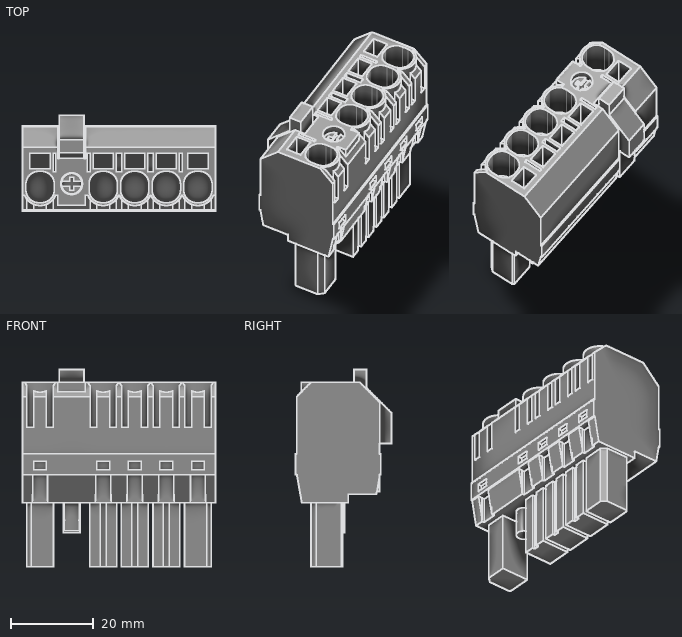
import cadquery as cq
import math


PITCH = 7.62
PLACES = 6
SCREW_PLACE = 1
END_MARGIN = 0.45
LENGTH = PLACES * PITCH + 2 * END_MARGIN
PLACE_X = [(i - (PLACES - 1) / 2) * PITCH for i in range(PLACES)]
SCREW_X = PLACE_X[SCREW_PLACE]
POLE_X = [x for i, x in enumerate(PLACE_X) if i != SCREW_PLACE]

BOTTOM_Z = 15.5
LEDGE_Z = 17.5
LIP_BOTTOM_Z = 22.3
LIP_TOP_Z = 27.3
COLLAR_BASE_Z = 33.7
TOP_Z = 44.65

LIP_STEP = 0.3
LIP_BACK_Y = 20.65
WALL_FRONT_Y = LIP_STEP
WALL_BACK_Y = LIP_BACK_Y - LIP_STEP
FOOT_FRONT_Y = 1.5
FOOT_BACK_Y = 12.75
LEDGE_BACK_Y = 19.55
FRONT_CHAMFER = 3.5
BACK_CHAMFER = 4.9

HOLE_X = 6.85
HOLE_Y = 7.55
HOLE_RADIUS = 3.04
HOLE_CENTRE_Y = 5.85
COLLAR_RADIUS = 4.04
COLLAR_CENTRE_Y = 5.4
FLUTE_SPAN = 6.35
FLUTE_RIB = 3.07

TOP_OPENING_BACK_Y = 14.0
DRIVER_X = 4.9
DRIVER_Y = 3.8
SLIT_X = 1.3
SLIT_Y = 4.5
SLIT_DEPTH = 3.0
SLITTED_BOUNDARIES = PLACES - 1

WINDOW_Z = 2.04
WINDOW_CENTRE_Z = 24.5
WINDOW_DEPTH = 1.0
RECESS_MOUTH_X = 3.55
RECESS_CAVITY_X = 3.8
RECESS_CAVITY_FRONT_Y = 1.4
RECESS_BACK_Y = 2.1

PRONG_X = 6.55
PRONG_FRONT_Y = 3.75
PRONG_BACK_Y = 11.4
PRONG_CHAMFER_X = 1.12
PRONG_CHAMFER_Y = 1.3
PRONG_BACK_CHAMFER = 0.35
GROOVE_X = 1.43
GROOVE_DEPTH = 0.65

SCREW_Y = 6.65
SHANK_RADIUS = 1.78
SHANK_TIP_Z = 8.7
HEAD_RADIUS = 2.48
HEAD_TOP_Z = TOP_Z - 2.0
HEAD_HEIGHT = 2.5
DRIVE_SLOT_Y = 1.13
DRIVE_CROSS_X = 1.0
DRIVE_CROSS_Y = 3.2
DRIVE_DEPTH = 1.0
SCREW_HOLE_RADIUS = 2.63
PAD_X = 6.6
PAD_FRONT_Y = 1.45

GUIDE_X = 4.14
GUIDE_FRONT_Y = 8.6
GUIDE_BACK_Y = 11.85
GUIDE_BOTTOM_Z = 8.25
GUIDE_BEVEL_Y = 1.7
GUIDE_BEVEL_Z = 3.0

LATCH_X = 6.0
LATCH_SLOT_X = 6.65
LATCH_BOTTOM_Z = 18.2
LATCH_TOP_Z = 47.7
LATCH_BACK_Y = 23.2
CATCH_BOTTOM_Z = 29.8
CATCH_TOP_Z = 37.2
BUTTON_FRONT_Y = 14.1
BUTTON_BACK_Y = 17.2
SHOULDER_DROP = 3.0


def box(x_range, y_range, z_range):
    """Axis-aligned block between the given limits."""
    (x0, x1), (y0, y1), (z0, z1) = x_range, y_range, z_range
    return cq.Workplane("XY").box(x1 - x0, y1 - y0, z1 - z0, centered=False).translate((x0, y0, z0))


def around(centre, width):
    """Limits of a width centred on a position."""
    return centre - width / 2, centre + width / 2


def side_profile(points, centre_x, width):
    """Closed (Y, Z) outline extruded along X, centred on centre_x."""
    start = cq.Workplane("YZ").workplane(offset=centre_x - width / 2)
    return start.polyline(points).close().extrude(width)


def upright_cylinder(x, y, radius, z_range):
    z0, z1 = z_range
    return cq.Workplane("XY").workplane(offset=z0).center(x, y).circle(radius).extrude(z1 - z0)


def make_shell():
    """Plain housing section: chamfered top, lip all along, tapered and stepped foot."""
    outline = [
        (FOOT_FRONT_Y, BOTTOM_Z),
        (WALL_FRONT_Y, LIP_BOTTOM_Z),
        (0, LIP_BOTTOM_Z),
        (0, LIP_TOP_Z),
        (WALL_FRONT_Y, LIP_TOP_Z),
        (WALL_FRONT_Y, TOP_Z - FRONT_CHAMFER),
        (WALL_FRONT_Y + FRONT_CHAMFER, TOP_Z),
        (WALL_BACK_Y - BACK_CHAMFER, TOP_Z),
        (WALL_BACK_Y, TOP_Z - BACK_CHAMFER),
        (WALL_BACK_Y, LIP_TOP_Z),
        (LIP_BACK_Y, LIP_TOP_Z),
        (LIP_BACK_Y, LIP_BOTTOM_Z),
        (WALL_BACK_Y, LIP_BOTTOM_Z),
        (LEDGE_BACK_Y, LEDGE_Z),
        (FOOT_BACK_Y, LEDGE_Z),
        (FOOT_BACK_Y, BOTTOM_Z),
    ]
    return side_profile(outline, 0, LENGTH)


def make_collar(x):
    return upright_cylinder(x, COLLAR_CENTRE_Y, COLLAR_RADIUS, (COLLAR_BASE_Z, TOP_Z))


def make_flutes(x):
    """Two upright slots beside the front rib, reaching back into the space that the collar fills."""
    span = box(around(x, FLUTE_SPAN), (0, COLLAR_CENTRE_Y), (COLLAR_BASE_Z, TOP_Z))
    rib = box(around(x, FLUTE_RIB), (0, COLLAR_CENTRE_Y), (COLLAR_BASE_Z, TOP_Z))
    return span.cut(rib)


def make_wire_hole(x):
    hole = box(around(x, HOLE_X), around(HOLE_CENTRE_Y, HOLE_Y), (COLLAR_BASE_Z, TOP_Z))
    return hole.edges("|Z").fillet(HOLE_RADIUS)


def make_driver_opening(x):
    y_range = (TOP_OPENING_BACK_Y - DRIVER_Y, TOP_OPENING_BACK_Y)
    return box(around(x, DRIVER_X), y_range, (COLLAR_BASE_Z, TOP_Z))


def make_window(x):
    return box(around(x, FLUTE_RIB), (0, WINDOW_DEPTH), around(WINDOW_CENTRE_Z, WINDOW_Z))


def make_foot_recess(x):
    """Upright-backed recess in the tapered foot, slightly wider behind its mouth."""
    z_range = (BOTTOM_Z, LIP_BOTTOM_Z)
    mouth = box(around(x, RECESS_MOUTH_X), (0, RECESS_BACK_Y), z_range)
    cavity = box(around(x, RECESS_CAVITY_X), (RECESS_CAVITY_FRONT_Y, RECESS_BACK_Y), z_range)
    return mouth.union(cavity)


def make_slit(boundary):
    """Slit on the boundary after a place; only its half away from the screw or the last pole."""
    boundary_x = PLACE_X[boundary] + PITCH / 2
    left_x, right_x = around(boundary_x, SLIT_X)
    if boundary == SCREW_PLACE:
        left_x = boundary_x
    if boundary in (SCREW_PLACE - 1, SLITTED_BOUNDARIES - 1):
        right_x = boundary_x
    y_range = (TOP_OPENING_BACK_Y - SLIT_Y, TOP_OPENING_BACK_Y)
    return box((left_x, right_x), y_range, (TOP_Z - SLIT_DEPTH, TOP_Z))


def make_prong(x):
    """Rectangular prong; end prongs lose their outer corners, the others have a front groove."""
    body = box(around(x, PRONG_X), (PRONG_FRONT_Y, PRONG_BACK_Y), (0, BOTTOM_Z))
    if x in (POLE_X[0], POLE_X[-1]):
        outward = "<X" if x < 0 else ">X"
        body = body.edges(f"|Z and {outward} and >Y").chamfer(PRONG_BACK_CHAMFER)
        side_x = x + math.copysign(PRONG_X / 2, x)
        corner = [
            (side_x, PRONG_FRONT_Y),
            (side_x - math.copysign(PRONG_CHAMFER_X, x), PRONG_FRONT_Y),
            (side_x, PRONG_FRONT_Y + PRONG_CHAMFER_Y),
        ]
        return body.cut(cq.Workplane("XY").polyline(corner).close().extrude(BOTTOM_Z))
    groove_y = (PRONG_FRONT_Y, PRONG_FRONT_Y + GROOVE_DEPTH)
    return body.cut(box(around(x, GROOVE_X), groove_y, (0, BOTTOM_Z)))


def make_guide():
    """Block behind the screw shank, bevelled at its lower front edge."""
    outline = [
        (GUIDE_FRONT_Y, BOTTOM_Z),
        (GUIDE_BACK_Y, BOTTOM_Z),
        (GUIDE_BACK_Y, GUIDE_BOTTOM_Z),
        (GUIDE_FRONT_Y + GUIDE_BEVEL_Y, GUIDE_BOTTOM_Z),
        (GUIDE_FRONT_Y, GUIDE_BOTTOM_Z + GUIDE_BEVEL_Z),
    ]
    return side_profile(outline, SCREW_X, GUIDE_X)


def make_screw_hole():
    """Through hole that fits the shank, with a wider bore for the head."""
    shank_hole = upright_cylinder(SCREW_X, SCREW_Y, SHANK_RADIUS, (BOTTOM_Z, TOP_Z))
    head_bore = upright_cylinder(SCREW_X, SCREW_Y, SCREW_HOLE_RADIUS, (HEAD_TOP_Z - HEAD_HEIGHT, TOP_Z))
    return shank_hole.union(head_bore)


def make_housing():
    housing = make_shell()
    pad_bottom_z = TOP_Z - FRONT_CHAMFER + PAD_FRONT_Y - WALL_FRONT_Y
    housing = housing.union(box(around(SCREW_X, PAD_X), (PAD_FRONT_Y, SCREW_Y), (pad_bottom_z, TOP_Z)))
    for x in POLE_X:
        housing = housing.cut(make_flutes(x))
    for x in POLE_X:
        housing = housing.union(make_collar(x))
    for x in POLE_X:
        housing = housing.cut(make_wire_hole(x))
        housing = housing.cut(make_driver_opening(x))
        housing = housing.cut(make_window(x))
        housing = housing.cut(make_foot_recess(x))
        housing = housing.union(make_prong(x))
    for boundary in range(SLITTED_BOUNDARIES):
        housing = housing.cut(make_slit(boundary))
    housing = housing.union(make_guide())
    latch_slot = box(around(SCREW_X, LATCH_SLOT_X), (FOOT_BACK_Y, LIP_BACK_Y), (LEDGE_Z, TOP_Z))
    return housing.cut(latch_slot).cut(make_screw_hole())


def make_latch():
    """Release latch in the back slot: push button, sloped back, catch and straight leg."""
    slope_top_z = CATCH_TOP_Z + LATCH_BACK_Y - BUTTON_BACK_Y
    outline = [
        (FOOT_BACK_Y, LATCH_BOTTOM_Z),
        (FOOT_BACK_Y, TOP_Z - SHOULDER_DROP),
        (BUTTON_FRONT_Y, TOP_Z - SHOULDER_DROP),
        (BUTTON_FRONT_Y, LATCH_TOP_Z),
        (BUTTON_BACK_Y, LATCH_TOP_Z),
        (BUTTON_BACK_Y, slope_top_z),
        (LATCH_BACK_Y, CATCH_TOP_Z),
        (LATCH_BACK_Y, CATCH_BOTTOM_Z),
        (WALL_BACK_Y, CATCH_BOTTOM_Z),
        (WALL_BACK_Y, LATCH_BOTTOM_Z),
    ]
    return side_profile(outline, SCREW_X, LATCH_X)


def make_screw():
    """Locking screw with a slot across the whole head and a short cross arm."""
    shank = upright_cylinder(SCREW_X, SCREW_Y, SHANK_RADIUS, (SHANK_TIP_Z, HEAD_TOP_Z))
    head = upright_cylinder(SCREW_X, SCREW_Y, HEAD_RADIUS, (HEAD_TOP_Z - HEAD_HEIGHT, HEAD_TOP_Z))
    drive_z = (HEAD_TOP_Z - DRIVE_DEPTH, HEAD_TOP_Z)
    slot = box(around(SCREW_X, 2 * HEAD_RADIUS), around(SCREW_Y, DRIVE_SLOT_Y), drive_z)
    cross = box(around(SCREW_X, DRIVE_CROSS_X), around(SCREW_Y, DRIVE_CROSS_Y), drive_z)
    return shank.union(head).cut(slot).cut(cross)


housing = make_housing()
latch = make_latch()
screw = make_screw()

result = cq.Compound.makeCompound([body.solids().val() for body in (housing, latch, screw)])